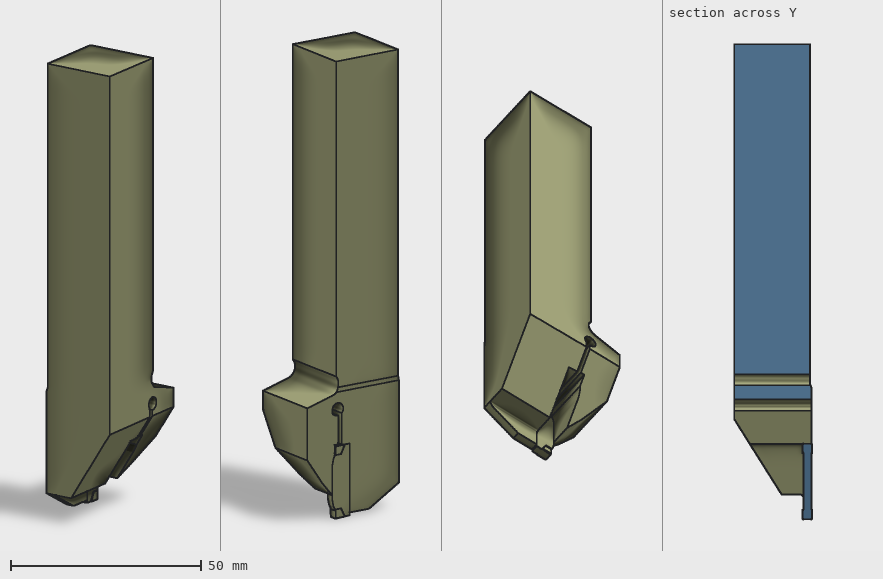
import cadquery as cq
import math

shank_width = 20.0
shank_back_y = 19.9
tool_top = 125.0
shank_side_draft = 0.1

head_back = 29.4
shelf_low_z = 31.8
shelf_angle = math.radians(15)
relief_radius = 3.0
relief_depth = 0.8
jaw_low_z = 17.5
jaw_knee = (24.5, 10.4)
nose_bottom = 1.0
nose_front_y = 9.6

head_side_x = -0.4
step_low_z = 34.6
step_high_z = 35.8
blade_thickness = 2.1
body_bottom = 6.6
flank_bottom_x = 7.5
flank_top_z = 26.5
blade_fillet = 1.0

slit_near_y = 18.4
slit_width = 1.1
slit_hole_y = 19.6
slit_hole_z = 29.9
slit_hole_radius = 1.8

insert_length = 20.1
insert_base_y = 15.8
insert_crown_y = 21.4
insert_tip_y = 20.2
tip_start_x = -0.5
tip_width = 2.5
end_chamfer = 0.2
end_relief = 0.2
rake_end = (20.4, 2.2)
chip_wall_top = (21.0, 3.6)
crown_end_z = 5.4
tip_flank_y = 18.6
tip_flank_z = 2.6
tip_root_y = 17.4

tip_clearance_y = 20.6
tip_clearance_low_z = 16.8
tip_clearance_top_z = 20.2

blade_far_x = head_side_x + blade_thickness
tip_end_x = tip_start_x + tip_width


def extrude_x(sketch, x_start, x_end):
    """Extrude a closed YZ wire along X between two X positions."""
    return sketch.extrude(x_end - x_start).translate((x_start, 0, 0))


def side_body():
    """Shank and head outline seen along X, extruded over the full width."""
    centre_y = shank_back_y - relief_depth + relief_radius
    shelf_z_at_centre = shelf_low_z + (head_back - centre_y) * math.tan(shelf_angle)
    centre_z = shelf_z_at_centre + relief_radius / math.cos(shelf_angle)
    shelf_end = (
        centre_y - relief_radius * math.sin(shelf_angle),
        centre_z - relief_radius * math.cos(shelf_angle),
    )
    shank_end_z = centre_z + math.sqrt(relief_radius**2 - (centre_y - shank_back_y) ** 2)
    outline = (
        cq.Workplane("YZ")
        .moveTo(0, tool_top)
        .lineTo(shank_back_y, tool_top)
        .lineTo(shank_back_y, shank_end_z)
        .threePointArc((centre_y - relief_radius, centre_z), shelf_end)
        .lineTo(head_back, shelf_low_z)
        .lineTo(head_back, jaw_low_z)
        .lineTo(*jaw_knee)
        .lineTo(insert_crown_y, body_bottom)
        .lineTo(insert_base_y, body_bottom)
        .lineTo(insert_base_y, nose_bottom)
        .lineTo(nose_front_y, nose_bottom)
        .lineTo(0, body_bottom)
        .close()
    )
    return extrude_x(outline, head_side_x, shank_width)


def front_body():
    """Outline seen along Y: proud head step, sloped flank and thin blade."""
    fillet_drop = blade_fillet * (1 - math.sqrt(0.5))
    return (
        cq.Workplane("XZ")
        .moveTo(0, tool_top)
        .lineTo(shank_width, tool_top)
        .lineTo(shank_width, flank_top_z)
        .lineTo(flank_bottom_x, body_bottom)
        .lineTo(blade_far_x + blade_fillet, body_bottom)
        .threePointArc(
            (blade_far_x + fillet_drop, body_bottom - fillet_drop),
            (blade_far_x, body_bottom - blade_fillet),
        )
        .lineTo(blade_far_x, 0)
        .lineTo(head_side_x, 0)
        .lineTo(head_side_x, step_low_z)
        .lineTo(0, step_high_z)
        .close()
        .extrude(-head_back)
    )


def side_draft():
    """Thin wedge taken off the +X face of the shank."""
    return (
        cq.Workplane("XY")
        .polyline([(shank_width, 0), (shank_width, shank_back_y), (shank_width - shank_side_draft, 0)])
        .close()
        .extrude(tool_top)
    )


def clamping_slit():
    """Slit from the insert seat up to a round relief hole, through the full width."""
    slit_bottom = insert_length - 2 * end_relief
    slit = (
        cq.Workplane("YZ")
        .moveTo(slit_near_y, slit_bottom)
        .lineTo(slit_near_y + slit_width, slit_bottom)
        .lineTo(slit_near_y + slit_width, slit_hole_z)
        .lineTo(slit_near_y, slit_hole_z)
        .close()
    )
    hole = cq.Workplane("YZ").center(slit_hole_y, slit_hole_z).circle(slit_hole_radius)
    return extrude_x(slit, head_side_x, shank_width).union(extrude_x(hole, head_side_x, shank_width))


def both_ends(lower_points):
    """Points of the lower end followed by their mirror images at the upper end."""
    upper_points = [(y, insert_length - z) for y, z in reversed(lower_points)]
    return lower_points + upper_points


def insert_profile(x_start, x_end):
    """Insert outline in the YZ plane, extruded along X."""
    lower_points = [
        (insert_base_y, end_relief),
        (insert_tip_y, 0),
        rake_end,
        chip_wall_top,
        (insert_crown_y, crown_end_z),
    ]
    outline = cq.Workplane("YZ").polyline(both_ends(lower_points)).close()
    return extrude_x(outline, x_start, x_end)


def chamfered_bar(x_start, x_end):
    """Bar as tall as the insert with its four edges along Y chamfered."""
    bar = cq.Workplane("XY").box(x_end - x_start, head_back, insert_length, centered=False)
    return bar.translate((x_start, 0, 0)).edges("|Y").chamfer(end_chamfer)


def cutting_tip(at_top):
    """One of the two wider cutting tips."""
    root_z = end_relief * (insert_tip_y - tip_root_y) / (insert_tip_y - insert_base_y)
    points = [
        (tip_root_y, root_z),
        (insert_tip_y, 0),
        rake_end,
        (rake_end[0], tip_flank_z),
        (tip_flank_y, tip_flank_z),
    ]
    if at_top:
        points = [(y, insert_length - z) for y, z in points]
    outline = cq.Workplane("YZ").polyline(points).close()
    return extrude_x(outline, tip_start_x, tip_end_x)


def make_insert():
    core = insert_profile(head_side_x, blade_far_x)
    insert = core.intersect(chamfered_bar(head_side_x, blade_far_x))
    for at_top in (False, True):
        tip = cutting_tip(at_top)
        insert = insert.union(tip.intersect(chamfered_bar(tip_start_x, tip_end_x)))
    return insert


def insert_seat():
    """Seat with the insert's outline, through the full width, with clearance at the upper tip."""
    clearance = (
        cq.Workplane("YZ")
        .moveTo(tip_flank_y, tip_clearance_low_z)
        .lineTo(tip_clearance_y, tip_clearance_low_z)
        .lineTo(tip_clearance_y, tip_clearance_top_z)
        .lineTo(tip_flank_y, tip_clearance_top_z)
        .close()
    )
    seat = insert_profile(head_side_x, shank_width)
    return seat.union(extrude_x(clearance, head_side_x, shank_width))


def make_holder():
    body = side_body().intersect(front_body())
    return body.cut(side_draft()).cut(clamping_slit()).cut(insert_seat())


holder = make_holder().solids()
insert = make_insert().solids()
result = cq.Compound.makeCompound([holder.val(), insert.val()])